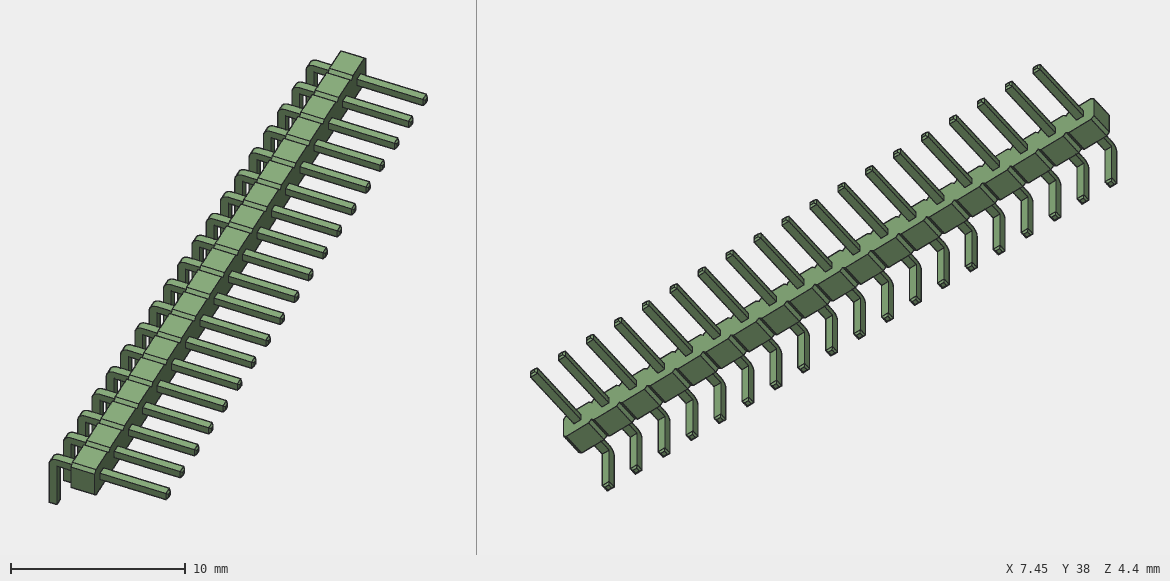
import cadquery as cq

row_length = 38.0
pin_count = 19
pitch = row_length / pin_count

body_width = 1.5
body_height = 2.0
body_chamfer = 0.2

pin_size = 0.5
tip_chamfer = 0.1
tail_reach = 1.7
contact_reach = 4.25
overall_height = 4.4

body_face = body_width / 2
leg_outer_x = -body_face - tail_reach
leg_inner_x = leg_outer_x + pin_size
leg_tip_z = body_height / 2 - overall_height
contact_tip_x = body_face + contact_reach


def make_block():
    """One body segment with its four long X edges chamfered."""
    block = cq.Workplane("XY").box(body_width, pitch, body_height)
    return block.edges("|X").chamfer(body_chamfer)


def make_pin():
    """One bent pin: sharp inner corner, rounded outer corner, tapered tips."""
    half = pin_size / 2
    profile = (
        cq.Workplane("XZ")
        .moveTo(contact_tip_x, half)
        .lineTo(leg_inner_x, half)
        .radiusArc((leg_outer_x, -half), -pin_size)
        .lineTo(leg_outer_x, leg_tip_z)
        .lineTo(leg_inner_x, leg_tip_z)
        .lineTo(leg_inner_x, -half)
        .lineTo(contact_tip_x, -half)
        .close()
    )
    pin = profile.extrude(half, both=True)
    pin = pin.faces(">X").chamfer(tip_chamfer)
    return pin.faces("<Z").chamfer(tip_chamfer)


segment = make_block().union(make_pin())
result = cq.Workplane("XY")
for index in range(pin_count):
    offset_y = (index - (pin_count - 1) / 2) * pitch
    result = result.union(segment.translate((0, offset_y, 0)))